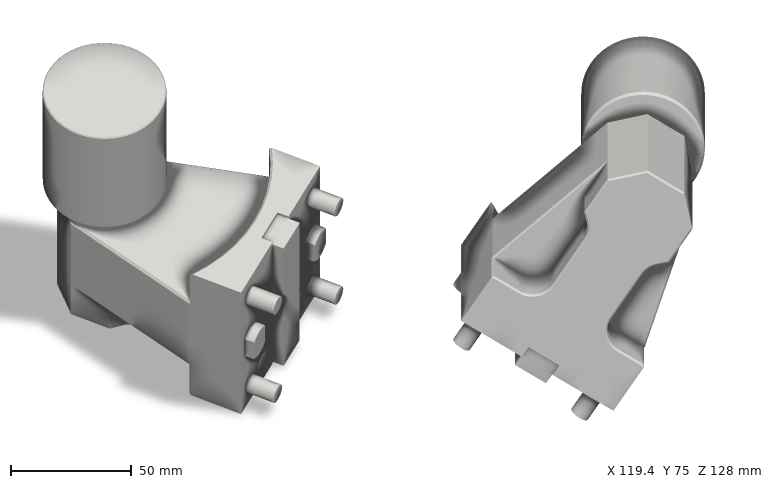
import cadquery as cq
import math


body_height = 61.0
nose_x = -17.4
nose_half_width = 9.1
shoulder_x = -5.2
shoulder_half_width = 20.9
taper_angle = math.radians(15)
body_chamfer = 1.0

plate_back_x = 81.0
plate_half_width = 37.5
plate_height = 80.0
plate_front_radius = 68.7
plate_chamfer = 1.0
taper_end_x = shoulder_x + (plate_half_width - shoulder_half_width) / math.tan(taper_angle)

undercut_height = 19.5
undercut_start_x = 12.5
undercut_wall_x = taper_end_x
undercut_half_width = 14.3
undercut_radius = 10.0
undercut_chamfer = 0.8

knob_radius = 25.6
knob_bottom = 68.5
knob_top = 128
knob_top_chamfer = 0.5
knob_bottom_chamfer = 1.0
collar_radius = 15.4
collar_bottom = 61.8
collar_chamfer = 0.9
stem_radius = 9.9

key_width = 15.2
key_depth_in_plate = 5.1
key_projection = 5.1
key_bottom = 1.3
key_top = 78.6

plate_center_z = plate_height / 2
pin_radius = 4.1
pin_length = 12.8
pin_half_spacing = 29.0
locator_radius = 7.5
locator_half_width = 5.1
locator_projection = 4.4
locator_chamfer = 0.4
locator_half_spacing = 28.8
disc_radius = 5.2
disc_projection = 0.4
disc_half_spacing = 16.6
disc_center_z = plate_center_z - pin_half_spacing

select_margin = 0.6


def make_body():
    """Tapered block with a chamfered top edge, running back to the plate's rear face."""
    outline = [
        (nose_x, nose_half_width),
        (shoulder_x, shoulder_half_width),
        (taper_end_x, plate_half_width),
        (plate_back_x, plate_half_width),
    ]
    mirrored = [(x, -y) for x, y in reversed(outline)]
    block = cq.Workplane("XY").polyline(outline + mirrored).close().extrude(body_height)
    return block.faces(">Z").edges().chamfer(body_chamfer)


def make_plate():
    """Full-height plate whose concave front is relieved around the knob axis."""
    plate = (
        cq.Workplane("XY")
        .box(plate_back_x - taper_end_x, 2 * plate_half_width, plate_height, centered=(False, True, False))
        .translate((taper_end_x, 0, 0))
    )
    floor_z = body_height - body_chamfer
    relief = (
        cq.Workplane("XY", origin=(0, 0, floor_z)).circle(plate_front_radius).extrude(plate_height - floor_z)
    )
    rim = cq.Workplane(
        cq.Solid.makeCone(
            plate_front_radius,
            plate_front_radius + plate_chamfer,
            plate_chamfer,
            pnt=cq.Vector(0, 0, plate_height - plate_chamfer),
        )
    )
    return plate.cut(relief).cut(rim)


def make_undercut():
    """Cutter for the -Y side: a 45 degree wall blended into a flat, then into the plate wall."""
    diagonal = math.sqrt(0.5)
    half_blend_angle = math.radians(22.5)
    ramp_rise = shoulder_half_width - undercut_half_width - undercut_radius * (1 - diagonal)
    ramp_end_x = undercut_start_x + ramp_rise
    ramp_end_y = -shoulder_half_width + ramp_rise
    floor_start_x = ramp_end_x + undercut_radius * diagonal
    floor_end_x = undercut_wall_x - undercut_radius
    blend_center_y = -undercut_half_width - undercut_radius
    outside_y = -2 * plate_half_width
    return (
        cq.Workplane("XY")
        .moveTo(shoulder_x, outside_y)
        .lineTo(shoulder_x, -shoulder_half_width)
        .lineTo(undercut_start_x, -shoulder_half_width)
        .lineTo(ramp_end_x, ramp_end_y)
        .threePointArc(
            (
                floor_start_x - undercut_radius * math.sin(half_blend_angle),
                blend_center_y + undercut_radius * math.cos(half_blend_angle),
            ),
            (floor_start_x, -undercut_half_width),
        )
        .lineTo(floor_end_x, -undercut_half_width)
        .threePointArc(
            (
                floor_end_x + undercut_radius * diagonal,
                blend_center_y + undercut_radius * diagonal,
            ),
            (undercut_wall_x, blend_center_y),
        )
        .lineTo(undercut_wall_x, outside_y)
        .close()
        .extrude(undercut_height)
    )


def make_knob():
    """Knob, collar and stem turned about the Z axis."""
    return (
        cq.Workplane("XZ")
        .polyline(
            [
                (0, body_height - body_chamfer),
                (stem_radius, body_height - body_chamfer),
                (stem_radius, collar_bottom),
                (collar_radius - collar_chamfer, collar_bottom),
                (collar_radius, collar_bottom + collar_chamfer),
                (collar_radius, knob_bottom),
                (knob_radius - knob_bottom_chamfer, knob_bottom),
                (knob_radius, knob_bottom + knob_bottom_chamfer),
                (knob_radius, knob_top - knob_top_chamfer),
                (knob_radius - knob_top_chamfer, knob_top),
                (0, knob_top),
            ]
        )
        .close()
        .revolve(360, (0, 0, 0), (0, 1, 0))
    )


def back_bar(depth_in_plate, projection, width, bottom, top):
    """Vertical bar centered in Y that straddles the plate's back face."""
    return (
        cq.Workplane("XY")
        .box(depth_in_plate + projection, width, top - bottom, centered=(False, True, False))
        .translate((plate_back_x - depth_in_plate, 0, bottom))
    )


def back_face(center_y=0, center_z=0):
    """Workplane on the plate's back face: local x is Y, local y is Z."""
    return cq.Workplane("YZ", origin=(plate_back_x, center_y, center_z))


def make_locator(center_y):
    """Round stub with a chamfered rim and two flats facing along Y."""
    stub = (
        back_face(center_y, plate_center_z)
        .circle(locator_radius)
        .extrude(locator_projection)
        .faces(">X")
        .edges()
        .chamfer(locator_chamfer)
    )
    between_flats = (
        back_face(center_y, plate_center_z)
        .rect(2 * locator_half_width, 2 * locator_radius)
        .extrude(locator_projection)
    )
    return stub.intersect(between_flats)


def make_back_fittings():
    """Key bar, pins, locators and discs on the plate's back face."""
    fittings = back_bar(key_depth_in_plate, key_projection, key_width, key_bottom, key_top)
    pins = (
        back_face(0, plate_center_z)
        .rect(2 * pin_half_spacing, 2 * pin_half_spacing, forConstruction=True)
        .vertices()
        .circle(pin_radius)
        .extrude(pin_length)
    )
    fittings = fittings.union(pins)
    for side in (-1, 1):
        disc_face = back_face(side * disc_half_spacing, disc_center_z)
        disc = disc_face.circle(disc_radius).extrude(disc_projection)
        fittings = fittings.union(make_locator(side * locator_half_spacing)).union(disc)
    return fittings


def mirrored_edges_near(x, y, z):
    """Selector for the mirrored pair of edges whose midpoints lie close to (x, -y, z) and (x, y, z)."""
    near, far = [
        cq.selectors.BoxSelector(
            (x - select_margin, side * y - select_margin, z - select_margin),
            (x + select_margin, side * y + select_margin, z + select_margin),
        )
        for side in (-1, 1)
    ]
    return near + far


def chamfer_lower_edges(housing):
    """Break the taper's lower edges, then the underside outline and the plate's front corners."""
    overhangs = mirrored_edges_near(
        (shoulder_x + taper_end_x) / 2,
        (shoulder_half_width + plate_half_width) / 2,
        undercut_height,
    )
    underside = cq.selectors.BoxSelector(
        (nose_x - select_margin, -plate_half_width, -select_margin),
        (undercut_wall_x + select_margin, plate_half_width, select_margin),
    )
    corners = mirrored_edges_near(undercut_wall_x, plate_half_width, undercut_height / 2)
    housing = housing.edges(overhangs).chamfer(undercut_chamfer)
    return housing.edges(underside + corners).chamfer(undercut_chamfer)


undercut = make_undercut()
key_slot = back_bar(key_depth_in_plate, 0, key_width, 0, plate_height)

housing = make_body().union(make_plate())
housing = housing.cut(undercut).cut(undercut.mirror("XZ"))
housing = chamfer_lower_edges(housing).cut(key_slot)

result = housing.union(make_knob()).union(make_back_fittings())